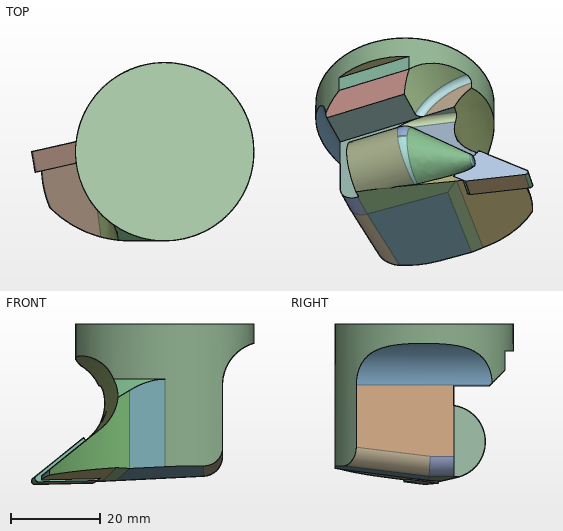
import cadquery as cq
import math

shank_radius = 20.0
cut_depth = 44.9
reach = 59.85

beak_flat_end_x = -7.9
beak_corner = (-25.8, -12.5)
beak_side_middle = (-18.95, -17.4)
beak_nose_bend = (-26.85, -9.5)
beak_nose_end = (-27.65, -4.65)
beak_nose_radius = 0.5
beak_top_z = -12.4
beak_shoulder_slope = 1.67

neck_x = 12.95
neck_arc_radius = 9.7
neck_arc_z = -13.7
heel_radius = 4.5

bottom_z = -32.0
bottom_slope = 0.05
relief_start_x = -7.9
relief_ramp = 2.85
relief_height = 0.35
land_z = -34.6
underside_direction = cq.Vector(-0.14, 1, -0.13)

gullet_radius = 10.15
gullet_center_x = -20.6
gullet_center_z = -15.45
gullet_y = -19.8
gullet_overrun = 5.0
gullet_direction = cq.Vector(-0.13, 1, -0.1)
rake_angle = math.radians(38.8)

rear_wall_y = 6.65
rear_floor_z = -13.95
rear_corner_radius = 1.5
rear_wall_slope = 0.226
rear_flat_y = 18.1
rear_flat_z = -6.15
rear_chamfer = 3.6
channel_radius = 14.95
channel_center_x = -18.95
channel_center_z = -21.1

nozzle_center = (5.5, -26.45)
nozzle_radius = 8.25
nozzle_tip = (4.45, -31.1)
nozzle_tip_radius = 1.25
nozzle_tip_x = -18.45
nozzle_shoulder_x = -5.0
nozzle_end_x = 8.5
nozzle_edge_radius = 4.0
nozzle_tip_edge_radius = 0.5

insert_tip_x = -31.35
insert_tip_z = -36.1
insert_nose_radius = 0.75
insert_length = 16.45
insert_edge_length = 15.95
insert_bottom_slope = 0.05
insert_width = 4.85
insert_rear_x = -29.9
insert_direction = cq.Vector(-0.17, 1, -0.13)


def prism(outline, direction, length):
    """Sweep a closed XZ outline in a straight line that covers `length` along Y."""
    return cq.Workplane(cq.Solid.extrudeLinear(outline.val(), [], direction * length))


def plan_column(outline, top_z=0.0):
    """Extrude a closed XY outline downward from top_z."""
    return outline.extrude(-cut_depth).translate((0, 0, top_z))


def rear_flank_y(x):
    return rear_wall_slope * (x - insert_rear_x)


def make_blank():
    shank = cq.Workplane().circle(shank_radius).extrude(-cut_depth)
    beak = plan_column(
        cq.Workplane()
        .moveTo(0, -shank_radius)
        .lineTo(beak_flat_end_x, -shank_radius)
        .threePointArc(beak_side_middle, beak_corner)
        .threePointArc(beak_nose_bend, beak_nose_end)
        .lineTo(beak_nose_end[0], rear_flank_y(beak_nose_end[0]))
        .lineTo(0, rear_flank_y(0))
        .close()
    )
    cone_base_radius = shank_radius + (cut_depth + beak_top_z) / beak_shoulder_slope
    shoulder = (
        cq.Workplane("XZ")
        .moveTo(0, beak_top_z)
        .lineTo(shank_radius, beak_top_z)
        .lineTo(cone_base_radius, -cut_depth)
        .lineTo(0, -cut_depth)
        .close()
        .revolve(360, (0, 0, 0), (0, 1, 0))
    )
    return shank.union(beak.intersect(shoulder))


def make_neck_cut():
    center_x = neck_x + neck_arc_radius
    half = neck_arc_radius * math.sqrt(0.5)
    return (
        cq.Workplane("XZ")
        .moveTo(neck_x, -cut_depth)
        .lineTo(neck_x, neck_arc_z)
        .threePointArc((center_x - half, neck_arc_z + half), (center_x, neck_arc_z + neck_arc_radius))
        .lineTo(center_x, -cut_depth)
        .close()
        .extrude(reach, both=True)
    )


def make_underside_cut():
    def plane_z(x):
        return bottom_z + bottom_slope * x

    relief_end_x = relief_start_x - relief_ramp
    outline = (
        cq.Workplane("XZ", origin=(0, -shank_radius, 0))
        .moveTo(reach, plane_z(reach))
        .lineTo(relief_start_x, plane_z(relief_start_x))
        .lineTo(relief_end_x, plane_z(relief_end_x) + relief_height)
        .lineTo(-reach, plane_z(-reach) + relief_height)
        .lineTo(-reach, -cut_depth * 2)
        .lineTo(reach, -cut_depth * 2)
        .close()
    )
    front = prism(outline, underside_direction, 2 * shank_radius)
    land = (
        cq.Workplane("XZ")
        .moveTo(-reach, land_z - bottom_slope * reach)
        .lineTo(reach, land_z + bottom_slope * reach)
        .lineTo(reach, -cut_depth * 2)
        .lineTo(-reach, -cut_depth * 2)
        .close()
        .extrude(reach, both=True)
    )
    return front.union(land)


def make_gullet():
    x = gullet_center_x
    z = gullet_center_z
    tangent_x = x + gullet_radius * math.sin(rake_angle)
    tangent_z = z - gullet_radius * math.cos(rake_angle)
    outline = (
        cq.Workplane("XZ", origin=(0, gullet_y, 0))
        .moveTo(x, z + gullet_radius)
        .threePointArc((x + gullet_radius, z), (tangent_x, tangent_z))
        .lineTo(-reach, tangent_z - (reach + tangent_x) * math.tan(rake_angle))
        .lineTo(-reach, z + gullet_radius)
        .close()
    )
    gullet = prism(outline, gullet_direction, rear_wall_y - gullet_y + gullet_overrun)
    return gullet.translate(-gullet_direction * gullet_overrun)


def make_rear_cut():
    bend_x = insert_rear_x + rear_wall_y / rear_wall_slope
    lower = plan_column(
        cq.Workplane()
        .moveTo(-reach, rear_flank_y(-reach))
        .lineTo(bend_x, rear_wall_y)
        .lineTo(reach, rear_wall_y)
        .lineTo(reach, reach)
        .lineTo(-reach, reach)
        .close(),
        rear_floor_z,
    )
    lower = lower.edges(">Z").edges("<Y or <<Y[1]").fillet(rear_corner_radius)
    channel = (
        cq.Workplane("XZ", origin=(0, rear_wall_y, 0))
        .center(channel_center_x, channel_center_z)
        .circle(channel_radius)
        .extrude(-reach)
        .faces("<Y")
        .edges()
        .fillet(rear_corner_radius)
    )
    flat = (
        cq.Workplane("YZ")
        .moveTo(rear_flat_y, rear_flat_z)
        .lineTo(rear_flat_y, rear_floor_z + rear_chamfer)
        .lineTo(rear_flat_y - rear_chamfer, rear_floor_z)
        .lineTo(reach, rear_floor_z)
        .lineTo(reach, rear_flat_z)
        .close()
        .extrude(reach, both=True)
    )
    return lower.union(channel).union(flat)


def make_nozzle():
    barrel = (
        cq.Workplane("YZ", origin=(nozzle_shoulder_x, 0, 0))
        .center(*nozzle_center)
        .circle(nozzle_radius)
        .extrude(nozzle_end_x - nozzle_shoulder_x)
    )
    taper = (
        cq.Workplane("YZ", origin=(nozzle_shoulder_x, 0, 0))
        .center(*nozzle_center)
        .circle(nozzle_radius)
        .workplane(offset=nozzle_tip_x - nozzle_shoulder_x)
        .center(nozzle_tip[0] - nozzle_center[0], nozzle_tip[1] - nozzle_center[1])
        .circle(nozzle_tip_radius)
        .loft(ruled=True)
    )
    nozzle = barrel.union(taper)
    nozzle = nozzle.faces("<X").edges().fillet(nozzle_tip_edge_radius)
    shoulder_edge = cq.selectors.BoxSelector(
        (nozzle_shoulder_x - 0.5, -reach, -cut_depth), (nozzle_shoulder_x + 0.5, reach, 0), boundingbox=True
    )
    return nozzle.edges(shoulder_edge).fillet(nozzle_edge_radius)


def make_insert():
    edge_x = math.cos(rake_angle)
    edge_z = math.sin(rake_angle)
    heel = (insert_tip_x + insert_edge_length, insert_tip_z + insert_bottom_slope * insert_edge_length)
    top_end = (insert_tip_x + insert_length * edge_x, insert_tip_z + insert_length * edge_z)
    along = (top_end[0] - heel[0]) * edge_x + (top_end[1] - heel[1]) * edge_z
    inner_end = (heel[0] + along * edge_x, heel[1] + along * edge_z)
    outline = (
        cq.Workplane("XZ")
        .polyline([(insert_tip_x, insert_tip_z), top_end, inner_end, heel])
        .close()
    )
    bar = prism(outline, insert_direction, 2 * shank_radius)
    bar = bar.translate(-insert_direction * shank_radius)
    tip_edge = cq.selectors.BoxSelector(
        (insert_tip_x - 0.5, -0.5, insert_tip_z - 0.5), (insert_tip_x + 0.5, 0.5, insert_tip_z + 0.5)
    )
    bar = bar.edges(tip_edge).fillet(insert_nose_radius)
    sides = plan_column(
        cq.Workplane()
        .moveTo(-reach, rear_flank_y(-reach))
        .lineTo(reach, rear_flank_y(reach))
        .lineTo(reach, rear_flank_y(reach) - insert_width)
        .lineTo(-reach, rear_flank_y(-reach) - insert_width)
        .close()
    )
    return bar.intersect(sides)


def make_head(insert):
    head = make_blank().cut(make_neck_cut()).cut(make_rear_cut())
    head = head.union(make_nozzle()).cut(make_underside_cut())
    heel_edge = cq.selectors.BoxSelector(
        (neck_x - 0.5, -reach, -cut_depth), (neck_x + 0.5, reach, bottom_z + heel_radius / 2), boundingbox=True
    )
    head = head.edges(heel_edge).fillet(heel_radius)
    head = head.cut(make_gullet())
    head = head.edges("<X").edges(">Z").fillet(beak_nose_radius)
    return head.cut(insert)


insert = make_insert()
head = make_head(insert)
result = cq.Compound.makeCompound([head.val(), insert.val()])